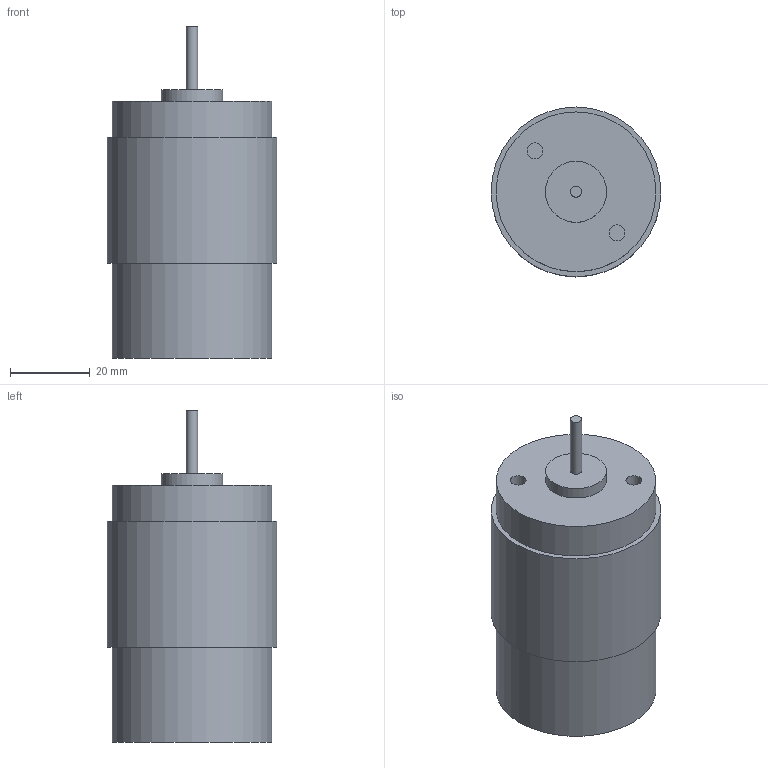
import cadquery as cq


can_diameter = 40.0
sleeve_diameter = 42.5
boss_diameter = 15.3
shaft_diameter = 2.8

sleeve_bottom = 23.7
sleeve_top = 55.3
can_top = 64.3
boss_top = 67.2
shaft_top = 83.1

hole_diameter = 4.0
hole_circle_diameter = 29.0
hole_depth = 5.0
hole_angles = (135, 315)


def cylinder(diameter, bottom, top):
    """Cylinder on the Z axis between two heights."""
    return cq.Workplane("XY").workplane(offset=bottom).circle(diameter / 2).extrude(top - bottom)


def mounting_hole(angle):
    """Blind hole sunk from the front face, placed by its angle from +X."""
    position = cq.Vector(hole_circle_diameter / 2, 0, 0)
    hole = cylinder(hole_diameter, can_top - hole_depth, can_top)
    return hole.translate(position).rotate((0, 0, 0), (0, 0, 1), angle)


result = cylinder(can_diameter, 0, can_top)
result = result.union(cylinder(sleeve_diameter, sleeve_bottom, sleeve_top))
result = result.union(cylinder(boss_diameter, can_top, boss_top))
result = result.union(cylinder(shaft_diameter, boss_top, shaft_top))

for hole_angle in hole_angles:
    result = result.cut(mounting_hole(hole_angle))